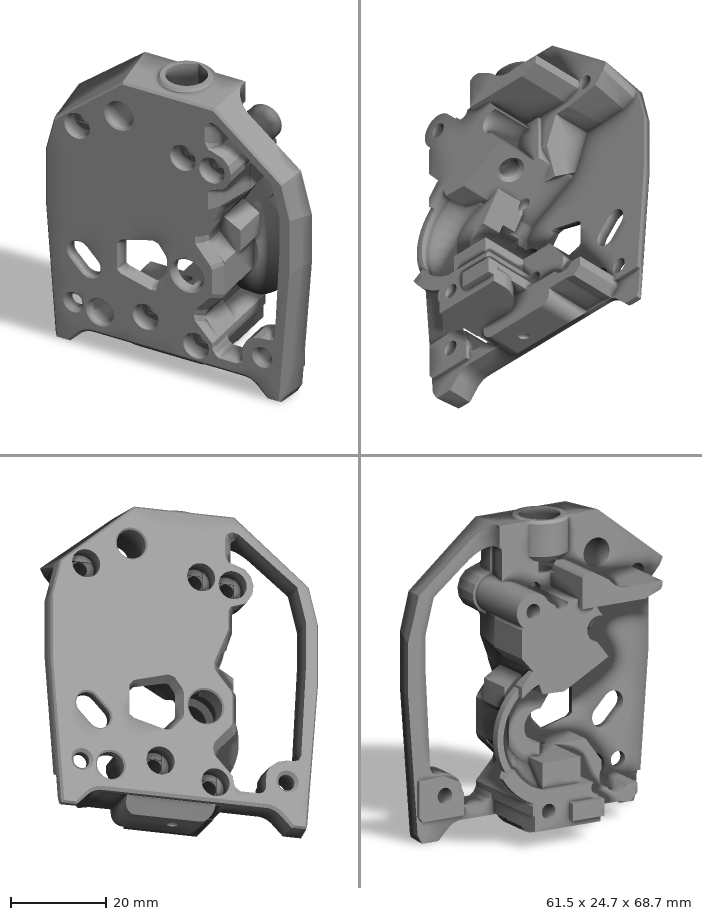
import cadquery as cq
import math


RIM_DEPTH = 0.5
COVER_DEPTH = 2.6
FLANGE_DEPTH = 6.3
WALL_DEPTH = 10.4
BODY_DEPTH = 11.85
BASE_DEPTH = 12.8
MOTOR_FACE = 23.0
LATCH_DEPTH = 24.7
LOWER_LATCH_DEPTH = 24.6

TOP = 68.69
BASE_TOP = 7.7
TAB_FRONT = 1.7
BEYOND = 80.0
REAR_HALF_WIDTH = 31.25

RIM_CREST = (11.1, 67.8)
REAR_CREST = (12.16, TOP)
RIM_SHOULDER = (27.6, 54.0)
REAR_SHOULDER = (29.56, 54.98)

FILAMENT_Y = 8.1
FILAMENT_RADIUS = 1.2
COLLAR_RADIUS = 6.25
COLLAR_BOTTOM = 59.5
COLLAR_BEVEL = 0.6
COLLAR_FOOT_BEVEL = 1.4
FUNNEL_LENGTH = 2.0
INLET_RADIUS = 4.5
INLET_DEPTH = 12.0
GUIDE_RADIUS = 2.6
GUIDE_DEPTH = 15.0

GEAR_X, GEAR_Z = 4.65, 24.8
GEAR_BORE_RADIUS = 3.75
BEARING_RADIUS = 5.5
BEARING_SPAN = (4.9, 11.0)
HOOD_FRONT = 7.5
CUP_RADIUS = 13.86
TIER_RADIUS = 15.6
CUP_WALL = 1.5
CUP_FLOOR = 14.8
CUP_CONE_END = 19.75
CUP_DEPTH = 21.5

SCREWS = [
    (-21.9, 53.8, 90),
    (3.6, 53.5, 0),
    (10.6, 52.5, 0),
    (-5.4, 11.6, 0),
    (6.8, 8.1, 0),
]
SCREW_RADIUS = 1.65
HEAD_RADIUS = 3.1
HEAD_DEPTH = 4.0
BRIDGE_STEP = 0.25
CORNER_BOSS = SCREWS[2][:2]
CORNER_BOSS_RADIUS = 4.0
CORNER_RADIUS = 4.65

ACCESS_HOLES = [
    (-11.8, 59.3, 3.2),
    (GEAR_X, GEAR_Z, GEAR_BORE_RADIUS),
    (-16.4, 9.4, 3.0),
]
ACCESS_BEVEL = 0.35
FOOT_SCREW_X, FOOT_SCREW_Z = 22.75, 10.0
PAD_THICKNESS = 0.9
FOOT_SCREW_RADIUS = 1.75
FOOT_SCREW_BEVEL = 0.7
SLOT_ENDS = [(-21.5, 22.7), (-18.9, 20.0)]
SLOT_RADIUS = 2.5


def prism(points, y_start, y_end):
    """Straight block with an X-Z outline between two depths."""
    plane = cq.Workplane("XZ", origin=(0, y_start, 0))
    return plane.polyline(points).close().extrude(y_start - y_end)


def box(x_range, y_range, z_range):
    """Box given by its limits along the three axes."""
    size = [r[1] - r[0] for r in (x_range, y_range, z_range)]
    corner = (x_range[0], y_range[0], z_range[0])
    return cq.Workplane("XY").box(*size, centered=False).translate(corner)


def rod(x, z, radius, y_start, y_end):
    """Cylinder along Y."""
    plane = cq.Workplane("XZ", origin=(x, y_start, z))
    return plane.circle(radius).extrude(y_start - y_end)


def taper(front, back, y_start, y_end):
    """Ruled solid between two outlines with matching corners."""
    wires = []
    for points, y in ((front, y_start), (back, y_end)):
        wires.append(cq.Wire.makePolygon([cq.Vector(x, y, z) for x, z in points], close=True))
    return cq.Workplane(obj=cq.Solid.makeLoft(wires, True))


def countersink(x, z, radius, bevel):
    """Cone that bevels the mouth of a hole in the cover face."""
    mouth = radius + bevel
    cone = cq.Solid.makeCone(mouth, radius, bevel, cq.Vector(x, 0, z), cq.Vector(0, 1, 0))
    return cq.Workplane(obj=cone)


def mirrored(point):
    """Same corner on the left side."""
    return (-point[0], point[1])


def drafted(rim, rear):
    """Corner where the drafted top reaches the flange depth."""
    share = (FLANGE_DEPTH - RIM_DEPTH) / (BODY_DEPTH - RIM_DEPTH)
    return tuple(a + share * (b - a) for a, b in zip(rim, rear))


def cover_wire(half, foot, y):
    """Symmetric outline: half is the right side from the top edge down to the foot."""
    foot_inner, foot_mid, arch_mid, arch_end = foot
    right = [cq.Vector(x, y, z) for x, z in half]

    def at(point, side=1):
        return cq.Vector(side * point[0], y, point[1])

    left = [cq.Vector(-x, y, z) for x, z in half]
    edges = [cq.Edge.makeLine(a, b) for a, b in zip(right, right[1:])]
    edges += [
        cq.Edge.makeLine(right[-1], at(foot_inner)),
        cq.Edge.makeLine(at(foot_inner), at(foot_mid)),
        cq.Edge.makeThreePointArc(at(foot_mid), at(arch_mid), at(arch_end)),
        cq.Edge.makeLine(at(arch_end), at(arch_end, -1)),
        cq.Edge.makeThreePointArc(at(arch_end, -1), at(arch_mid, -1), at(foot_mid, -1)),
        cq.Edge.makeLine(at(foot_mid, -1), at(foot_inner, -1)),
        cq.Edge.makeLine(at(foot_inner, -1), left[-1]),
    ]
    edges += [cq.Edge.makeLine(b, a) for a, b in reversed(list(zip(left, left[1:])))]
    edges.append(cq.Edge.makeLine(left[0], right[0]))
    return cq.Wire.assembleEdges(edges)


def cover():
    """Cover plate: bevelled face, drafted sides, thin left and thick right flange."""
    foot_front = [(24.2, 0.4), (21.8, 3.0), (20.3, 4.0), (18.3, 4.5)]
    foot_back = [(23.8, 0), (21.4, 2.4), (20.0, 3.4), (18.3, 3.8)]
    face = [(10.9, 67.3), (27.3, 53.8), (29.3, 45.7), (29.3, 32.5), (26.8, 1.2), (26.7, 0.4)]
    rim = [RIM_CREST, RIM_SHOULDER, (29.68, 45.7), (29.68, 32.5), (27.3, 1.0), (27.1, 0)]
    back = [
        drafted(RIM_CREST, REAR_CREST), drafted(RIM_SHOULDER, REAR_SHOULDER),
        (REAR_HALF_WIDTH, 44.5), (REAR_HALF_WIDTH, 33.0), (28.9, 2.0), (27.8, 0),
    ]
    w_face = cover_wire(face, foot_front, 0)
    w_rim = cover_wire(rim, foot_back, RIM_DEPTH)
    w_back = cover_wire(back, foot_back, FLANGE_DEPTH)
    bevel = cq.Workplane(obj=cq.Solid.makeLoft([w_face, w_rim], True))
    body = cq.Workplane(obj=cq.Solid.makeLoft([w_rim, w_back], True))
    plate = bevel.union(body)
    tab_free, web_left, foot_top, foot_left_depth = -10, 9, 6.8, 1.65
    left_relief = box((-BEYOND, web_left), (COVER_DEPTH, BEYOND), (-1, BEYOND))
    foot_relief = box((-BEYOND, tab_free), (foot_left_depth, BEYOND), (-1, foot_top))
    top_relief = box((-BEYOND, web_left), (RIM_DEPTH, BEYOND), (RIM_SHOULDER[1], BEYOND))
    return plate.cut(left_relief).cut(foot_relief).cut(top_relief)


def lever_window():
    """Opening beside the right flange; its left wall slopes behind the cover face."""
    right_side = [(24.9, 53.6), (26.9, 45.8), (26.9, 37.1), (25.8, 16.2), (25.3, 15.1), (24.3, 14.75)]
    boss_side = [(22.6, 14.7), (20.6, 14.2), (18.9, 12.9), (18.1, 11.4), (18.0, 9.8)]
    bottom = [(18.0, 8.1), (17.5, 7.1), (16.5, 6.7), (12.3, 6.7), (11.3, 7.4), (10.7, 8.6), (10.7, 9.8)]
    front_left = [
        (6.6, 14.2), (6.2, 15.6), (6.6, 17.0), (10.2, 21.0), (10.6, 22.0), (10.6, 28.0), (10.2, 28.9),
        (6.6, 33.3), (6.5, 34.9), (9.7, 42.6), (9.7, 46.8), (10.2, 47.6), (13.3, 48.7),
    ]
    back_left = [
        (7.8, 13.2), (7.4, 14.4), (7.9, 16.0), (11.8, 20.0), (12.2, 21.0), (12.2, 28.2), (11.8, 29.2),
        (8.4, 33.2), (8.3, 34.6), (11.3, 42.6), (11.3, 46.8), (11.6, 47.6), (13.3, 48.7),
    ]
    boss_x, boss_z = CORNER_BOSS
    rounds = []
    for degrees in (-45, -20, 5, 30, 55, 85):
        angle = math.radians(degrees)
        rounds.append((
            boss_x + CORNER_RADIUS * math.cos(angle),
            boss_z + CORNER_RADIUS * math.sin(angle),
        ))
    front_top = [(9.7, 57.5), (8.9, 58.9), (8.9, 62.6), (9.4, 63.8), (10.6, 64.3), (12.0, 63.9)]
    back_top = [(11.0, 57.2), (11.0, 58.0), (11.0, 62.6), (11.2, 63.0), (11.8, 63.4), (12.2, 63.7)]
    shared = right_side + boss_side + bottom
    front = shared + front_left + rounds + front_top
    back = shared + back_left + rounds + back_top
    opening = taper(front, back, 0, COVER_DEPTH)
    return opening.union(prism(back, COVER_DEPTH, FLANGE_DEPTH))


def gear_window():
    """Opening onto the drive gears; it narrows behind the cover face."""
    front = [
        (-12.3, 21.3), (-11.3, 20.5), (-4.0, 18.6), (-2.9, 18.9), (-0.4, 21.7), (-0.2, 22.4),
        (-0.2, 27.2), (-0.6, 28.3), (-2.3, 30.6), (-3.7, 31.0), (-11.3, 28.9), (-12.3, 27.8),
    ]
    back = [
        (-11.4, 21.9), (-10.8, 21.4), (-4.3, 19.7), (-3.6, 19.9), (-1.5, 22.2), (-1.3, 22.7),
        (-1.3, 27.0), (-1.5, 28.0), (-2.7, 29.7), (-3.5, 29.9), (-10.7, 28.2), (-11.4, 27.4),
    ]
    return taper(front, back, 0, COVER_DEPTH).union(prism(back, COVER_DEPTH, LATCH_DEPTH))


def foot_pad():
    """Thin pad behind the right foot."""
    outline = [(18.0, 5.0), (28.2, 5.0), (29.0, 6.0), (29.0, 14.0), (22.6, 14.2), (19.2, 12.6), (18.0, 9.8)]
    return prism(outline, FLANGE_DEPTH - 1, FLANGE_DEPTH + PAD_THICKNESS)


def upper_block():
    """Block behind the top of the cover, drafted on every side."""
    rim = [
        mirrored(RIM_CREST), RIM_CREST, (9.2, 62.6), (9.2, 50), (-18, 50), (-24, 50.2),
        (-27.4, 51), (-27.98, 52.5), mirrored(RIM_SHOULDER),
    ]
    rear = [
        mirrored(REAR_CREST), REAR_CREST, (11.5, 62.6), (11.5, 50), (-17, 50), (-25, 51.5),
        (-27.4, 54.2), (-28.2, 55.8), (-28.1, 56.0),
    ]
    return taper(rim, rear, RIM_DEPTH, BODY_DEPTH)


def fin():
    """Curved web that blends the upper block into the right flange."""
    reach, start, floor, root = 16.8, 11.0, 58.0, FLANGE_DEPTH - 1
    plane = cq.Workplane("XY", origin=(0, 0, floor))
    web = plane.moveTo(start, root).lineTo(reach, root).lineTo(reach, FLANGE_DEPTH)
    web = web.threePointArc((13.4, 7.5), (12.1, BODY_DEPTH)).lineTo(start, BODY_DEPTH).close()
    web = web.extrude(TOP - floor)
    roof = taper(
        [(start, RIM_CREST[1]), RIM_CREST, RIM_SHOULDER, (start, RIM_SHOULDER[1])],
        [(start, TOP), REAR_CREST, REAR_SHOULDER, (start, REAR_SHOULDER[1])],
        RIM_DEPTH, BODY_DEPTH,
    )
    outline = [(start, 63.7), (12.2, 63.7), (24.9, 53.6), (24.9, TOP), (start, TOP)]
    above_window = prism(outline, 0, LATCH_DEPTH)
    return web.intersect(roof).intersect(above_window)


def middle_body():
    """Wall below the upper block; its slanted underside roofs the gear space."""
    panel = [(-8, 39.8), (3, 33.8)]
    tail = [(8.3, 34), (9.3, 36.8), (10.7, 39.4), (13.3, 42.4), (13.3, 48.7), (11.3, 51)]
    inner = [(-9, 51), (-9, 40.35)] + panel + [(5, 30.3), (8.3, 30.3)]
    slope = [(8.3, 34), (9.3, 36.8), (9.8, 40.0), (11.3, 42.6), (11.3, 48.7), (11.3, 51)]
    front = taper(inner + slope, inner + tail, COVER_DEPTH, BASE_DEPTH)
    rear = cq.Workplane("XZ", origin=(0, BODY_DEPTH, 0)).polyline([(-4.5, 52), (-6.5, 49.0)])
    rear = rear.threePointArc((-2.8, 46.8), (-5.2, 43.4))
    for point in panel + tail + [(9.0, 52)]:
        rear = rear.lineTo(*point)
    rear = rear.close().extrude(BODY_DEPTH - MOTOR_FACE)
    return front.union(rear)


def keel():
    """Slanted left wall of the gear space, pointed at its lower end."""
    wedge = prism([(-13.5, 50.5), (-8.5, 38), (-4, 38), (-4, 50.5)], COVER_DEPTH, BODY_DEPTH)
    point = cq.Workplane("YZ", origin=(-20, 0, 0)).polyline([
        (0, 51), (COVER_DEPTH, 41.4), (7.5, 38.4), (BODY_DEPTH, 43.2), (BODY_DEPTH, 51),
    ]).close().extrude(20)
    return wedge.intersect(point)


def corner_boss():
    """Screw boss at the upper right with a web that runs left from it."""
    boss = rod(*CORNER_BOSS, CORNER_BOSS_RADIUS, FLANGE_DEPTH, MOTOR_FACE)
    outline = [(-0.5, 51), (5, 51), (8, 53), (8, 55.2), (5.6, 53.0), (-0.5, 53.5)]
    return boss.union(prism(outline, BODY_DEPTH, MOTOR_FACE))


def panel_hole():
    """Blind round hole entering the slanted panel square to it."""
    run, rise = 11.0, 6.0
    radius, mouth_radius, mouth_depth, depth = 2.2, 3.4, 1.4, 6
    start = cq.Vector(-4.5, 16.2, 37.3)
    direction = cq.Vector(rise, 0, run)
    mouth = cq.Solid.makeCone(mouth_radius, radius, mouth_depth, start, direction)
    bore = cq.Solid.makeCylinder(radius, depth, start, direction)
    return cq.Workplane(obj=mouth).union(cq.Workplane(obj=bore))


def tall_block():
    """Stepped block at the back with a concave saddle rising to its crest."""
    left, right, floor, ledge = -20.2, -0.5, 51.7, 55.0
    crest = 59.5

    def profile(saddle_start, y_start, y_end):
        plane = cq.Workplane("XZ", origin=(0, y_start, 0))
        outline = plane.moveTo(-16, floor).lineTo(left + 0.3, 53.2).lineTo(left, 54.0)
        outline = outline.lineTo(left, ledge).lineTo(saddle_start, ledge)
        outline = outline.threePointArc((-8.6, 55.8), (-7.1, 57.2)).lineTo(-3.6, 59.2)
        outline = outline.threePointArc((-2.2, crest), (right, 58.6)).lineTo(right, floor)
        return outline.close().extrude(y_start - y_end)

    body = profile(-9.6, BODY_DEPTH - 1, MOTOR_FACE)
    return body.union(profile(-14.0, MOTOR_FACE, LATCH_DEPTH))


def collar():
    """Round collar around the filament inlet, bevelled at its lower end."""
    plane = cq.Workplane("XY", origin=(0, FILAMENT_Y, COLLAR_BOTTOM))
    tube = plane.circle(COLLAR_RADIUS).extrude(TOP - COLLAR_BOTTOM)
    return tube.faces("<Z").chamfer(COLLAR_FOOT_BEVEL).faces(">Z").chamfer(COLLAR_BEVEL)


def filament_path():
    """Stepped bore from the top; the inlet comes to a blunt ridge at the back."""
    def section(radius):
        half_angle = math.radians(30)
        side = (radius * math.sin(half_angle), radius * math.cos(half_angle))
        plane = cq.Workplane("XY", origin=(0, FILAMENT_Y, TOP))
        outline = plane.moveTo(-side[0], side[1]).lineTo(0, radius / math.cos(half_angle)).lineTo(*side)
        return outline.threePointArc((0, -radius), (-side[0], side[1])).close()

    path = section(INLET_RADIUS).extrude(-INLET_DEPTH)
    path = path.union(section(GUIDE_RADIUS).extrude(-GUIDE_DEPTH))
    tip = cq.Vector(0, FILAMENT_Y, TOP - GUIDE_DEPTH)
    funnel = cq.Solid.makeCone(GUIDE_RADIUS, FILAMENT_RADIUS, FUNNEL_LENGTH, tip, cq.Vector(0, 0, -1))
    path = path.union(cq.Workplane(obj=funnel))
    plane = cq.Workplane("XY", origin=(0, FILAMENT_Y, -1))
    return path.union(plane.circle(FILAMENT_RADIUS).extrude(TOP))


def gear_housing():
    """Gear wall right of the axis with a deeper-set hood over its top."""
    hood_outline = [
        (0, 36), (3, 37), (9.3, 36.8), (13.3, 34.5), (13.3, 29.5), (12.2, 28.2), (GEAR_X, 28.2), (0, 35),
    ]
    hood = prism(hood_outline, HOOD_FRONT, CUP_FLOOR + 1)
    wall_outline = [
        (GEAR_X, 33), (8.3, 33), (12.2, 29), (12.2, 21.0),
        (7.9, 16.0), (7.4, 14.4), (7.4, 13.9), (GEAR_X, 13.9),
    ]
    wall = prism(wall_outline, COVER_DEPTH, CUP_FLOOR + 1).union(hood)
    wall = wall.cut(rod(GEAR_X, GEAR_Z, BEARING_RADIUS, *BEARING_SPAN))
    return wall.cut(rod(GEAR_X, GEAR_Z, GEAR_BORE_RADIUS, COVER_DEPTH, CUP_FLOOR + 1))


def cup_half():
    """Right half of the conical cup around the large gear."""
    base_radius = CUP_RADIUS - (CUP_CONE_END - CUP_FLOOR)
    rim = CUP_RADIUS - CUP_WALL
    inner = base_radius - CUP_WALL
    profile = [
        (inner, CUP_FLOOR), (base_radius, CUP_FLOOR), (CUP_RADIUS, CUP_CONE_END),
        (CUP_RADIUS, CUP_DEPTH), (rim, CUP_DEPTH), (rim, CUP_CONE_END),
    ]
    ring = cq.Workplane("XY").polyline(profile).close().revolve(180, (0, 0), (0, 1))
    return ring.rotate((0, 0, 0), (0, 1, 0), -90).translate((GEAR_X, 0, GEAR_Z))


def motor_tier():
    """Wider lip on the motor side, only at the lower right and at the top."""
    rise = CUP_DEPTH - CUP_CONE_END
    seat = cq.Vector(GEAR_X, CUP_CONE_END, GEAR_Z)
    cone = cq.Solid.makeCone(CUP_RADIUS, TIER_RADIUS, rise, seat, cq.Vector(0, 1, 0))
    lip = cq.Workplane(obj=cone).union(rod(GEAR_X, GEAR_Z, TIER_RADIUS, CUP_DEPTH, MOTOR_FACE))
    lip = lip.cut(rod(GEAR_X, GEAR_Z, CUP_RADIUS - CUP_WALL, CUP_CONE_END, MOTOR_FACE))
    reach = GEAR_X + 16.5
    lower = prism([(GEAR_X, GEAR_Z), (reach, GEAR_Z - 10), (reach, 8), (GEAR_X, 8)], 0, LATCH_DEPTH)
    upper = prism([(GEAR_X, 33.8), (13.3, 33.8), (13.3, 36.2), (10.7, 39.4), (GEAR_X, 39.4)], 0, LATCH_DEPTH)
    return lip.intersect(lower.union(upper))


def lower_block():
    """Three tiers of solid body around the lower screws."""
    wall = [(-14, 7.5), (10.7, 7.5), (10.7, 9.8), (7.4, 14.2), (7.4, 18.4), (-10, 18.4), (-14, 13)]
    bearer = [(-5.4, 7.5), (10.7, 7.5), (10.7, 9.8), (7.4, 12.8), (-5.4, 12.8)]
    rear = prism([(-2, 12.8), (7.4, 12.8), (7.4, 18.4), (-2, 18.4)], WALL_DEPTH, CUP_DEPTH)
    front = prism(wall, COVER_DEPTH, WALL_DEPTH)
    return front.union(rear).union(prism(bearer, WALL_DEPTH, MOTOR_FACE))


def base():
    """Plinth across the bottom, a rounded heel behind it and the lower latch catch."""
    left, right, heel_left, heel_floor, heel_top = -21.4, 10.2, -6.0, 4.0, 7.6
    outline = [(left, BASE_TOP), (left, 5.5), (-19.5, 3.7), (-17, 4.2), (right, 4.2), (right, BASE_TOP)]
    plinth = prism(outline, TAB_FRONT, BASE_DEPTH)
    heel = cq.Workplane("XY", origin=(0, 0, heel_floor)).moveTo(right, BASE_DEPTH - 1)
    heel = heel.lineTo(2.0, BASE_DEPTH - 1).lineTo(2.0, BASE_DEPTH)
    heel = heel.threePointArc((-3.6, 14.8), (heel_left, 19.6))
    heel = heel.lineTo(heel_left, MOTOR_FACE).lineTo(right, MOTOR_FACE).close()
    heel = heel.extrude(heel_top - heel_floor)
    catch = box((heel_left, 1.8), (MOTOR_FACE - 1, LOWER_LATCH_DEPTH), (5.6, 9.4))
    return plinth.union(heel).union(catch)


def bottom_tab():
    """Tab below the cover with rounded lower corners and a sloped front."""
    tab = box((-12.2, 7.4), (TAB_FRONT, BASE_DEPTH), (0.65, BASE_TOP))
    tab = tab.edges("|Y and <Z").fillet(2.6)
    slope = cq.Workplane("YZ", origin=(-BEYOND, 0, 0))
    slope = slope.polyline([(0, 5.5), (0, 0), (5.3, 0)]).close().extrude(2 * BEYOND)
    return tab.cut(slope)


def screw_hole(x, z, angle):
    """Counterbore with two bridging layers above a through hole."""
    half = SCREW_RADIUS
    head = rod(x, z, HEAD_RADIUS, -1, HEAD_DEPTH)
    slot_end = HEAD_DEPTH + BRIDGE_STEP
    slot = box((x - half, x + half), (HEAD_DEPTH, slot_end), (z - HEAD_RADIUS, z + HEAD_RADIUS))
    slot = slot.rotate((x, 0, z), (x, 1, z), angle)
    slot = slot.intersect(rod(x, z, HEAD_RADIUS, HEAD_DEPTH, slot_end))
    square = box((x - half, x + half), (slot_end, slot_end + BRIDGE_STEP), (z - half, z + half))
    return head.union(slot).union(square).union(rod(x, z, SCREW_RADIUS, HEAD_DEPTH, LATCH_DEPTH + 1))


def bevelled_hole(x, z, radius, bevel):
    """Through hole with a bevelled mouth."""
    return rod(x, z, radius, -1, LATCH_DEPTH + 1).union(countersink(x, z, radius, bevel))


def slanted_slot():
    """Through slot with a bevelled mouth."""
    (x1, z1), (x2, z2) = SLOT_ENDS
    length = math.hypot(x2 - x1, z2 - z1) + 2 * SLOT_RADIUS
    tilt = math.degrees(math.atan2(z2 - z1, x2 - x1))
    plane = cq.Workplane("XZ", origin=((x1 + x2) / 2, 0, (z1 + z2) / 2))
    slot = plane.slot2D(length, 2 * SLOT_RADIUS, tilt).extrude(-LATCH_DEPTH)
    mouth = plane.slot2D(length + 2 * ACCESS_BEVEL, 2 * (SLOT_RADIUS + ACCESS_BEVEL), tilt)
    return slot.union(mouth.extrude(-ACCESS_BEVEL, taper=45))


result = cover().cut(lever_window()).union(foot_pad())
for build in (
    upper_block, fin, middle_body, keel, corner_boss, tall_block, collar, gear_housing,
    cup_half, motor_tier, lower_block, base, bottom_tab,
):
    result = result.union(build())
result = result.cut(gear_window()).cut(panel_hole()).cut(filament_path()).cut(slanted_slot())
for x, z, angle in SCREWS:
    result = result.cut(screw_hole(x, z, angle))
for x, z, radius in ACCESS_HOLES:
    result = result.cut(bevelled_hole(x, z, radius, ACCESS_BEVEL))
for side in (-1, 1):
    result = result.cut(bevelled_hole(side * FOOT_SCREW_X, FOOT_SCREW_Z, FOOT_SCREW_RADIUS, FOOT_SCREW_BEVEL))